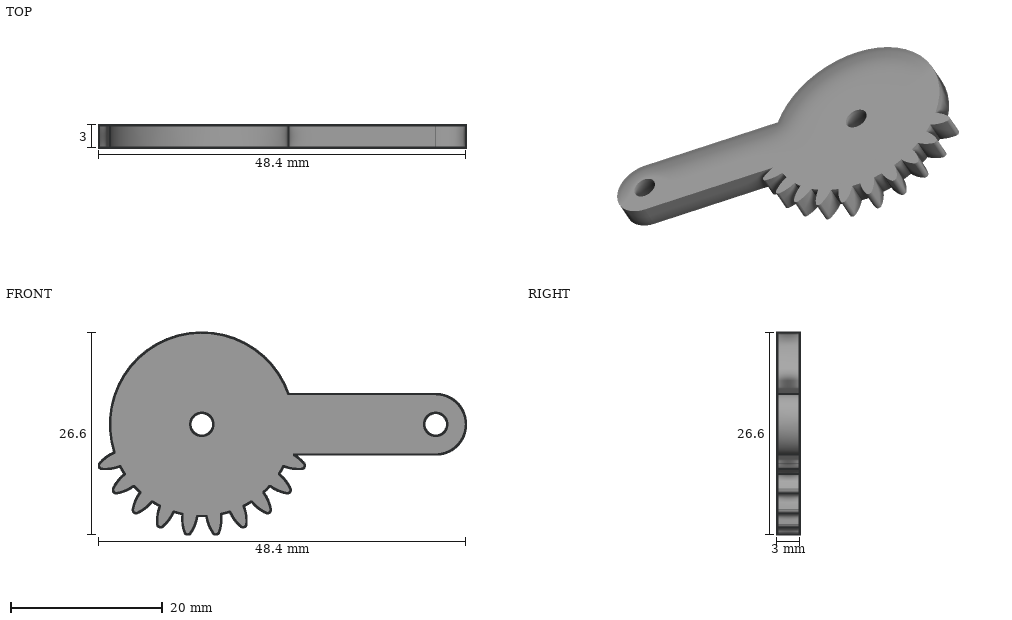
import cadquery as cq

thickness = 3.0
disc_radius = 12.1
hole_diameter = 3.0

arm_length = 30.8
arm_width = 8.0
arm_end_radius = arm_width / 2

tooth_pitch_angle = 360 / 24
tooth_count = 10
root_overlap = 0.6

root_half_width = 0.99
flank_radius = 13.4
flank_half_width = 0.80
shoulder_radius = 14.45
shoulder_half_width = 0.38
tip_radius = 14.65


def make_plate(outline):
    """Extrude a profile in the XZ plane through the thickness, centred on Y = 0."""
    return outline.extrude(thickness / 2, both=True)


def make_disc():
    return make_plate(cq.Workplane("XZ").circle(disc_radius))


def make_arm():
    outline = (
        cq.Workplane("XZ")
        .moveTo(0, -arm_end_radius)
        .lineTo(arm_length, -arm_end_radius)
        .threePointArc((arm_length + arm_end_radius, 0), (arm_length, arm_end_radius))
        .lineTo(0, arm_end_radius)
        .close()
    )
    return make_plate(outline)


def make_tooth(angle):
    """Make one tooth with curved flanks, turned by angle away from -Z."""
    base_radius = disc_radius - root_overlap
    outline = (
        cq.Workplane("XZ")
        .moveTo(-root_half_width, -base_radius)
        .lineTo(-root_half_width, -disc_radius)
        .threePointArc((-flank_half_width, -flank_radius), (-shoulder_half_width, -shoulder_radius))
        .threePointArc((0, -tip_radius), (shoulder_half_width, -shoulder_radius))
        .threePointArc((flank_half_width, -flank_radius), (root_half_width, -disc_radius))
        .lineTo(root_half_width, -base_radius)
        .close()
    )
    return make_plate(outline).rotate((0, 0, 0), (0, 1, 0), angle)


def make_holes():
    """Make the cutters for the pivot hole and the arm end hole."""
    centres = [(0, 0), (arm_length, 0)]
    return make_plate(cq.Workplane("XZ").pushPoints(centres).circle(hole_diameter / 2))


body = make_disc().union(make_arm())
for index in range(tooth_count):
    tooth_angle = (index - (tooth_count - 1) / 2) * tooth_pitch_angle
    body = body.union(make_tooth(tooth_angle))

result = body.cut(make_holes())